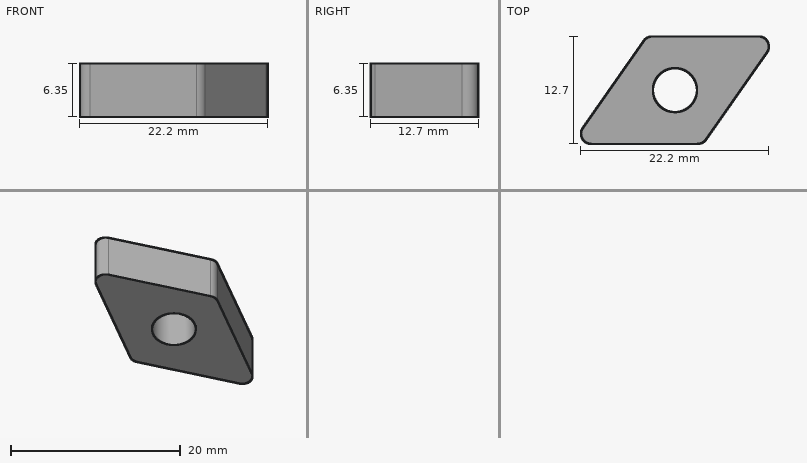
import cadquery as cq
import math

length = 22.18
width = 12.7
thickness = 6.35
acute_angle = math.radians(55)
hole_diameter = 5.17

edge = width / math.sin(acute_angle)
slant_run = width / math.tan(acute_angle)
sharp_length = edge + slant_run

shortening_per_radius = 1 / math.tan(acute_angle / 2) - 1
corner_radius = (sharp_length - length) / (2 * shortening_per_radius)

corners = [
    (-sharp_length / 2, -width / 2),
    (edge - sharp_length / 2, -width / 2),
    (sharp_length / 2, width / 2),
    (sharp_length / 2 - edge, width / 2),
]

body = cq.Workplane("XY").polyline(corners).close().extrude(thickness)
body = body.edges("|Z").fillet(corner_radius)

result = body.faces(">Z").workplane(origin=(0, 0, thickness)).hole(hole_diameter)